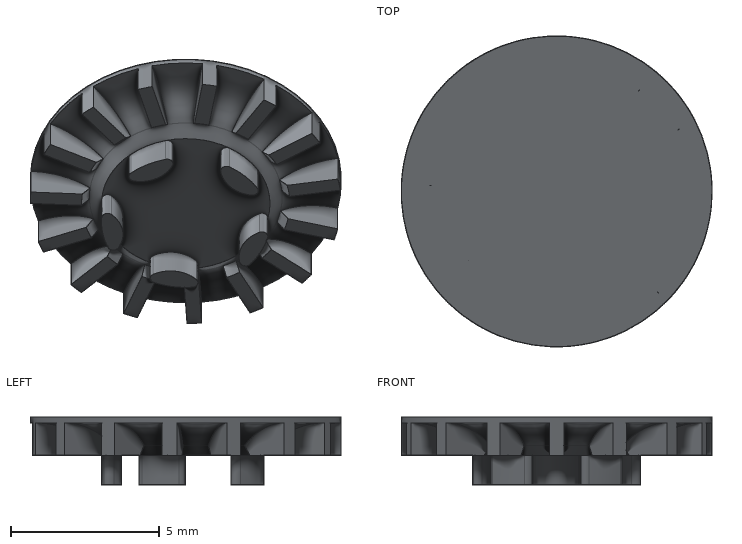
import cadquery as cq

disc_radius = 5.25
rim_thickness = 0.2
body_height = 1.3
total_height = 2.3

arc_mid_radius = 4.01
arc_mid_depth = 0.47
cone_top_radius = 3.25
cone_top_depth = 0.97
hub_bottom_radius = 2.85

fin_count = 15
fin_width = 0.49
fin_root_radius = 2.1
fin_bottom_radius = 3.52
first_fin_angle = -90.0

lug_count = 5
lug_outer_radius = 2.85
lug_inner_radius = 2.16
lug_inner_curve_radius = 1.2
lug_end_radius = 0.2
first_lug_angle = 90.0


def make_hub():
    """Disc and tapered hub as one body of revolution about Z."""
    return (
        cq.Workplane("XZ")
        .lineTo(disc_radius, 0)
        .lineTo(disc_radius, -rim_thickness)
        .threePointArc((arc_mid_radius, -arc_mid_depth), (cone_top_radius, -cone_top_depth))
        .lineTo(hub_bottom_radius, -body_height)
        .lineTo(0, -body_height)
        .close()
        .revolve(360, (0, 0), (0, 1))
    )


def make_fins():
    """Radial fins trimmed to the disc's outer cylinder and sloped at their inner ends."""
    fins = (
        cq.Workplane("XY")
        .polarArray(fin_root_radius, first_fin_angle, 360, fin_count)
        .rect(2 * (disc_radius + fin_width - fin_root_radius), fin_width)
        .extrude(-body_height)
    )
    envelope = cq.Workplane("XY").circle(disc_radius).extrude(-body_height)
    inner_clearance = (
        cq.Workplane("XZ")
        .moveTo(0, -cone_top_depth)
        .lineTo(cone_top_radius, -cone_top_depth)
        .lineTo(fin_bottom_radius, -body_height)
        .lineTo(0, -body_height)
        .close()
        .revolve(360, (0, 0), (0, 1))
    )
    return fins.intersect(envelope).cut(inner_clearance)


def make_lug():
    """Lug along +X: overlap of two cylinders with its two sharp edges rounded."""
    lug_height = total_height - body_height
    base = cq.Workplane("XY").workplane(offset=-total_height)
    outer = base.circle(lug_outer_radius).extrude(lug_height)
    inner = (
        base.center(lug_inner_radius + lug_inner_curve_radius, 0)
        .circle(lug_inner_curve_radius)
        .extrude(lug_height)
    )
    return outer.intersect(inner).edges("|Z").fillet(lug_end_radius)


result = make_hub().union(make_fins())
lug = make_lug()
for index in range(lug_count):
    angle = first_lug_angle + index * 360 / lug_count
    result = result.union(lug.rotate((0, 0, 0), (0, 0, 1), angle))